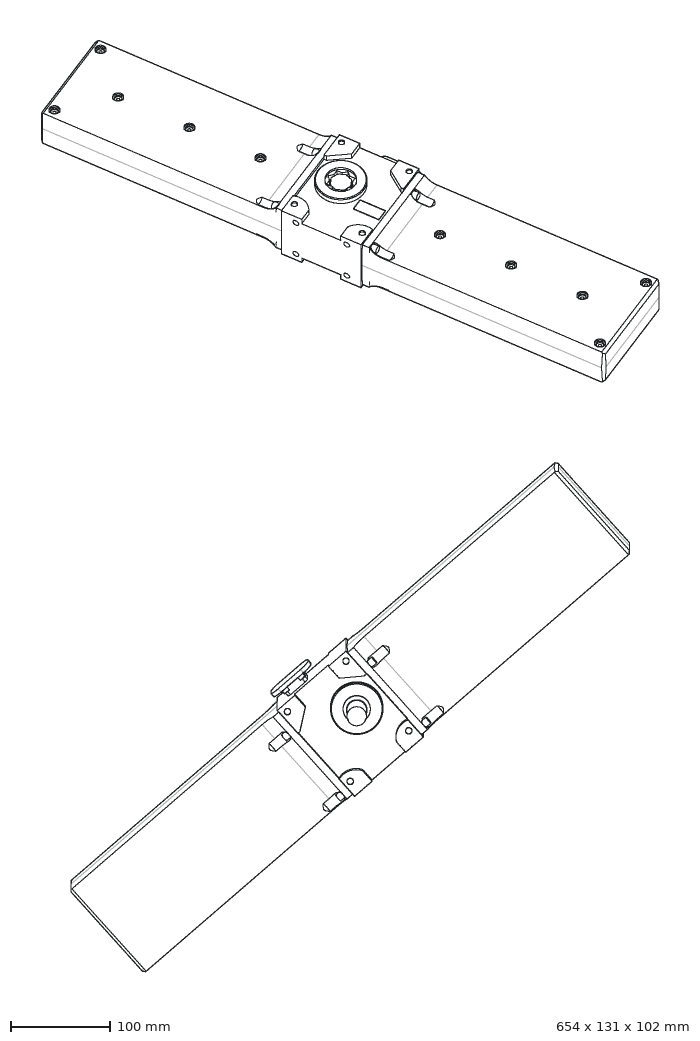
import cadquery as cq
import math

total_length = 654.0

housing_length = 92.0
housing_width = 118.0
housing_half_height = 33.0
recess_depth = 6.5

pad_reach = 23.5
front_pad_straight = 14.5
front_pad_depth = 23.5
front_pad_arc_inset = 4.25
front_pad_arc_rise = 5.0
back_pad_straight = 16.5
back_pad_depth = 31.5
back_pad_flat = 2.95
pad_hole_diameter = 6.5
pad_hole_depth = 2.0
pad_hole_x = 39.0
pad_hole_front_y = -44.5
pad_hole_back_y = 51.0

face_hole_diameter = 6.5
face_hole_depth = 6.5
face_hole_x = 29.5
face_hole_z = 23.5

plate_length = 29.5
plate_width = 14.0
plate_thickness = 0.5
plate_x = 27.5
plate_y = -9.0

shaft_x = -15.0
shaft_y = 7.0
hub_diameter = 53.0
hub_chamfer = 1.0
socket_mouth_diameter = 32.0
socket_mouth_depth = 2.5
socket_square = 21.0
socket_depth = 9.0
shaft_diameter = 19.5
shaft_bottom = -69.0
shaft_head_drop = 4.0
collar_diameter = 27.5
collar_height = 5.0
collar_chamfer = 3.0

flange_x = 18.0
flange_length = 50.0
flange_height = 27.0
flange_thickness = 4.5
flange_corner = 10.0
flange_overhang = 13.0
flange_screw_diameter = 7.0
flange_screw_height = 4.0
flange_screw_x = 10.5
flange_screw_z = 10.0
neck_length = 26.0
neck_height = 23.0
neck_chamfer = 3.0

arm_width = 114.5
arm_half_height = 23.0
arm_draft = 1.0
end_draft = 0.3
end_chamfer = 3.0
shoulder_half_height = 30.0
shoulder_length = 8.0
sweep_length = 14.5

cover_screw_steps = ((11.0, 2.0), (8.0, 4.0), (3.0, 8.0))
row_first_x = 104.0
row_pitch = 82.5
row_count = 3
corner_screw_x = 316.0
corner_screw_y = 46.75

clamp_ys = (-50.5, 32.0)
clamp_z = 25.0
clamp_head_diameter = 8.0
clamp_head_length = 6.5
clamp_groove_diameter = 11.0
clamp_groove_length = 22.0
clamp_groove_tip = 5.0

half_length = total_length / 2
housing_side = housing_length / 2
housing_back = housing_width / 2
recess_level = housing_half_height - recess_depth
shaft_head_top = housing_half_height - shaft_head_drop
socket_floor = housing_half_height - socket_depth
shoulder_face = housing_side + shoulder_length
sweep_start = shoulder_face + sweep_length
sweep_rise = shoulder_half_height - arm_half_height
sweep_radius = (sweep_length**2 + sweep_rise**2) / (2 * sweep_rise)


def cylinder(x, y, bottom, top, diameter):
    """Upright cylinder between two heights."""
    return cq.Workplane("XY", origin=(x, y, bottom)).circle(diameter / 2).extrude(top - bottom)


def lying_cylinder(x_start, x_end, y, z, diameter):
    """Cylinder along X between two positions."""
    return cq.Workplane("YZ", origin=(x_start, y, z)).circle(diameter / 2).extrude(x_end - x_start)


def block(x, y_start, y_end, length, height):
    """Box centred on the mid plane, between two Y positions."""
    return cq.Workplane("XY").box(length, y_end - y_start, height).translate((x, (y_start + y_end) / 2, 0))


def corner_pads():
    """Four raised corner pads, as tall as the whole housing."""
    inner = housing_side - pad_reach
    front_corner = -housing_back + front_pad_straight
    front = (
        cq.Workplane("XY", origin=(0, 0, -housing_half_height))
        .moveTo(housing_side, -housing_back)
        .lineTo(inner, -housing_back)
        .lineTo(inner, front_corner)
        .threePointArc(
            (inner + front_pad_arc_inset, front_corner + front_pad_arc_rise),
            (housing_side, -housing_back + front_pad_depth),
        )
        .close()
        .extrude(2 * housing_half_height)
    )
    back = (
        cq.Workplane("XY", origin=(0, 0, -housing_half_height))
        .moveTo(housing_side, housing_back)
        .lineTo(inner, housing_back)
        .lineTo(inner, housing_back - back_pad_straight)
        .lineTo(housing_side - back_pad_flat, housing_back - back_pad_depth)
        .lineTo(housing_side, housing_back - back_pad_depth)
        .close()
        .extrude(2 * housing_half_height)
    )
    right_pads = front.union(back)
    return right_pads.union(right_pads.mirror("YZ"))


def connector():
    """Flanged connector on the back of the housing."""
    flange_back = housing_back + flange_overhang
    flange_front = flange_back - flange_thickness
    flange = block(flange_x, flange_front, flange_back, flange_length, flange_height)
    flange = flange.edges("|Y").fillet(flange_corner)
    screw_heads = (
        cq.Workplane("XZ", origin=(flange_x, flange_front, 0))
        .rect(2 * flange_screw_x, 2 * flange_screw_z, forConstruction=True)
        .vertices()
        .circle(flange_screw_diameter / 2)
        .extrude(flange_screw_height)
    )
    neck = block(flange_x, housing_back, flange_front, neck_length, neck_height)
    neck = neck.edges("|Y").chamfer(neck_chamfer)
    return flange.union(neck).union(screw_heads)


def pad_holes():
    """Shallow holes in the corner pads, top and bottom."""
    holes = cq.Workplane("XY")
    for x in (-pad_hole_x, pad_hole_x):
        for y in (pad_hole_front_y, pad_hole_back_y):
            hole = cylinder(
                x, y, housing_half_height - pad_hole_depth, housing_half_height, pad_hole_diameter
            )
            holes = holes.union(hole).union(hole.mirror("XY"))
    return holes


def face_holes():
    """Four blind holes in the front face."""
    return (
        cq.Workplane("XZ", origin=(0, -housing_back, 0))
        .rect(2 * face_hole_x, 2 * face_hole_z, forConstruction=True)
        .vertices()
        .circle(face_hole_diameter / 2)
        .extrude(-face_hole_depth)
    )


def drive_socket():
    """Round mouth above a double-square socket."""
    mouth = cylinder(
        shaft_x, shaft_y, housing_half_height - socket_mouth_depth, housing_half_height, socket_mouth_diameter
    )
    square = (
        cq.Workplane("XY", origin=(shaft_x, shaft_y, socket_floor))
        .rect(socket_square, socket_square)
        .extrude(socket_depth)
    )
    turned = square.rotate((shaft_x, shaft_y, 0), (shaft_x, shaft_y, 1), 45)
    return mouth.union(square).union(turned)


def make_housing(shaft):
    core = cq.Workplane("XY").box(housing_length, housing_width, 2 * recess_level)
    hub = cylinder(shaft_x, shaft_y, -housing_half_height, housing_half_height, hub_diameter)
    hub = hub.faces("<Z or >Z").edges().chamfer(hub_chamfer)
    plate = (
        cq.Workplane("XY", origin=(plate_x, plate_y, recess_level))
        .rect(plate_length, plate_width)
        .extrude(plate_thickness)
    )
    body = core.union(corner_pads()).union(hub).union(plate).union(connector())
    return body.cut(pad_holes()).cut(face_holes()).cut(drive_socket()).cut(shaft)


def make_shaft():
    """Output shaft with an octagonal head and a chamfered collar under the hub."""
    rod = cylinder(shaft_x, shaft_y, shaft_bottom, socket_floor, shaft_diameter)
    head = (
        cq.Workplane("XY", origin=(shaft_x, shaft_y, socket_floor))
        .transformed(rotate=(0, 0, 180 / 8))
        .polygon(8, socket_square, circumscribed=True)
        .extrude(shaft_head_top - socket_floor)
    )
    collar = cylinder(
        shaft_x, shaft_y, -housing_half_height - collar_height, -housing_half_height, collar_diameter
    )
    collar = collar.faces("<Z").edges().chamfer(collar_chamfer)
    return rod.union(head).union(collar)


def arm_blank():
    """Right arm with concave shoulders, its sides and end drafted from the mid plane."""
    sweep_angle = math.asin(sweep_length / sweep_radius) / 2
    sweep_mid_x = sweep_start - sweep_radius * math.sin(sweep_angle)
    sweep_mid_z = arm_half_height + sweep_radius * (1 - math.cos(sweep_angle))
    end_edge_x = half_length - end_draft
    outline = (
        cq.Workplane("XZ", origin=(0, housing_back, 0))
        .moveTo(housing_side, -shoulder_half_height)
        .lineTo(shoulder_face, -shoulder_half_height)
        .threePointArc((sweep_mid_x, -sweep_mid_z), (sweep_start, -arm_half_height))
        .lineTo(end_edge_x - end_chamfer, -arm_half_height)
        .lineTo(end_edge_x, -arm_half_height + end_chamfer)
        .lineTo(half_length, 0)
        .lineTo(end_edge_x, arm_half_height - end_chamfer)
        .lineTo(end_edge_x - end_chamfer, arm_half_height)
        .lineTo(sweep_start, arm_half_height)
        .threePointArc((sweep_mid_x, sweep_mid_z), (shoulder_face, shoulder_half_height))
        .lineTo(housing_side, shoulder_half_height)
        .close()
        .extrude(housing_width)
    )
    middle_y = arm_width / 2
    edge_y = middle_y - arm_draft
    section = (
        cq.Workplane("YZ", origin=(housing_side, 0, 0))
        .polyline([
            (middle_y, 0),
            (edge_y, shoulder_half_height),
            (-edge_y, shoulder_half_height),
            (-middle_y, 0),
            (-edge_y, -shoulder_half_height),
            (edge_y, -shoulder_half_height),
        ])
        .close()
        .extrude(half_length - housing_side)
    )
    plan = cq.Workplane("XY").box(total_length, arm_width, housing_half_height * 2)
    plan = plan.edges("|Z and >X").chamfer(end_chamfer)
    return outline.intersect(section).intersect(plan)


def cover_screw_holes():
    """Stepped screw holes in the arm top: a centre row and two at the end corners."""
    spots = [(row_first_x + i * row_pitch, 0) for i in range(row_count)]
    spots += [(corner_screw_x, -corner_screw_y), (corner_screw_x, corner_screw_y)]
    holes = cq.Workplane("XY")
    for x, y in spots:
        for diameter, depth in cover_screw_steps:
            holes = holes.union(cylinder(x, y, arm_half_height - depth, arm_half_height, diameter))
    return holes


def clamp_groove(y):
    """Round groove with a conical tip, running along the arm surface into the shoulder."""
    groove_end = shoulder_face + clamp_groove_length
    groove = lying_cylinder(shoulder_face, groove_end, y, clamp_z, clamp_groove_diameter)
    tip = cq.Solid.makeCone(
        clamp_groove_diameter / 2, 0, clamp_groove_tip, cq.Vector(groove_end, y, clamp_z), cq.Vector(1, 0, 0)
    )
    return groove.union(cq.Workplane(tip))


def make_right_arm():
    arm = arm_blank().cut(cover_screw_holes())
    for y in clamp_ys:
        groove = clamp_groove(y)
        head = lying_cylinder(
            housing_side, shoulder_face + clamp_head_length, y, clamp_z, clamp_head_diameter
        )
        arm = arm.cut(groove).cut(groove.mirror("XY"))
        arm = arm.union(head).union(head.mirror("XY"))
    return arm


shaft = make_shaft()
housing = make_housing(shaft)
right_arm = make_right_arm()
left_arm = right_arm.mirror("YZ")

bodies = (housing, shaft, right_arm, left_arm)
result = cq.Compound.makeCompound([body.solids().val() for body in bodies])